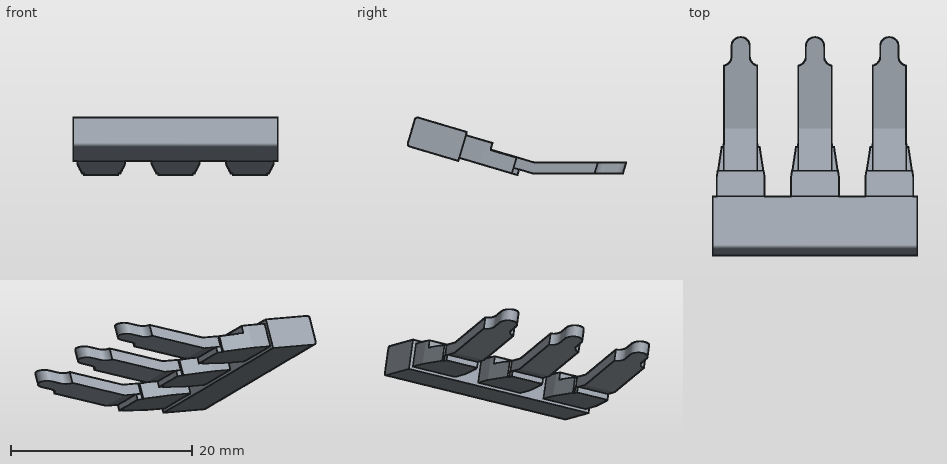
import cadquery as cq
import math

tilt = 16.5
tilt_sin = math.sin(math.radians(tilt))
tilt_cos = math.cos(math.radians(tilt))

bar_width = 22.6
bar_length = 5.91
bar_height = 3.35
bar_fillet = 0.35

prong_count = 3
prong_pitch = 8.2

root_width = 5.3
root_bottom = 0.36
collar_top = 3.0
collar_end = 8.25
collar_top_end = 8.98
sleeve_top = 2.17
sleeve_end = 11.97
sleeve_end_width = 4.22
lip_end = 12.63
lip_width = 3.81

blade_width = 3.72
blade_thickness = 1.23
blade_top = 2.25
blade_bottom = blade_top - blade_thickness
bend_top = 14.05
bend_bottom = bend_top + blade_thickness * math.tan(math.radians(tilt / 2))

nose_width = 2.05
nose_radius = nose_width / 2
notch_radius = 1.0
notch_start_from_tip = 2.17
front_rounding = bar_fillet * (tilt_sin + tilt_cos - 1)
tip_y = 24.15 + front_rounding


def tilted(y, z):
    """Place a point of the level bar frame into the tilted side plane."""
    return (y * tilt_cos + z * tilt_sin, z * tilt_cos - y * tilt_sin)


def tilt_solid(solid):
    return solid.rotate((0, 0, 0), (1, 0, 0), -tilt)


def make_bar():
    bar = cq.Workplane("XY").box(bar_width, bar_length, bar_height, centered=(True, False, False))
    return tilt_solid(bar.faces("<Y").edges("|X").fillet(bar_fillet))


def make_root():
    half_root = root_width / 2
    half_end = sleeve_end_width / 2
    plan = (
        cq.Workplane("XY")
        .moveTo(-half_root, 0)
        .lineTo(-half_root, collar_end)
        .lineTo(-half_end, sleeve_end)
        .lineTo(half_end, sleeve_end)
        .lineTo(half_root, collar_end)
        .lineTo(half_root, 0)
        .close()
        .extrude(collar_top)
    )
    root_start = bar_length / 2
    side = (
        cq.Workplane("YZ")
        .moveTo(root_start, root_bottom)
        .lineTo(root_start, collar_top)
        .lineTo(collar_top_end, collar_top)
        .lineTo(collar_top_end, sleeve_top)
        .lineTo(sleeve_end, sleeve_top)
        .lineTo(sleeve_end, root_bottom)
        .close()
        .extrude(half_root, both=True)
    )
    lip = cq.Workplane("XY").box(
        lip_width, lip_end - collar_end, blade_bottom - root_bottom, centered=(True, False, False)
    ).translate((0, collar_end, root_bottom))
    return tilt_solid(plan.intersect(side).union(lip))


def make_tip_outline(flat_top):
    """Blade outline as a prism that leans with the tilt below the blade's flat top."""
    half_blade = blade_width / 2
    nose_y = tip_y - nose_radius
    notch_y = tip_y - notch_start_from_tip
    notch_x = nose_radius + notch_radius
    notch_angle = math.acos((notch_x - half_blade) / notch_radius)
    shoulder_y = notch_y - notch_radius * math.sin(notch_angle)
    mid_x = notch_x - notch_radius * math.cos(notch_angle / 2)
    mid_y = notch_y - notch_radius * math.sin(notch_angle / 2)

    outline = (
        cq.Workplane("XY")
        .workplane(offset=flat_top)
        .moveTo(-half_blade, 0)
        .lineTo(-half_blade, shoulder_y)
        .threePointArc((-mid_x, mid_y), (-nose_radius, notch_y))
        .lineTo(-nose_radius, nose_y)
        .threePointArc((0, tip_y), (nose_radius, nose_y))
        .lineTo(nose_radius, notch_y)
        .threePointArc((mid_x, mid_y), (half_blade, shoulder_y))
        .lineTo(half_blade, 0)
        .close()
    )
    lean = cq.Vector(0, -tilt_sin, -tilt_cos) * (blade_thickness / tilt_cos)
    face = cq.Face.makeFromWires(outline.wires().val())
    return cq.Workplane(cq.Solid.extrudeLinear(face, lean))


def make_blade():
    bend_top_y, flat_top = tilted(bend_top, blade_top)
    bend_bottom_y, flat_bottom = tilted(bend_bottom, blade_bottom)
    half_blade = blade_width / 2
    inclined = (
        cq.Workplane("YZ")
        .polyline([
            tilted(collar_end, blade_top),
            (bend_top_y, flat_top),
            (bend_bottom_y, flat_bottom),
            tilted(collar_end, blade_bottom),
        ])
        .close()
        .extrude(half_blade, both=True)
    )
    flat = (
        cq.Workplane("YZ")
        .polyline([
            (bend_top_y, flat_top),
            (tip_y, flat_top),
            (tip_y, flat_bottom),
            (bend_bottom_y, flat_bottom),
        ])
        .close()
        .extrude(half_blade, both=True)
        .intersect(make_tip_outline(flat_top))
    )
    return inclined.union(flat)


prong = make_root().union(make_blade())
result = make_bar()
for index in range(prong_count):
    prong_x = (index - (prong_count - 1) / 2) * prong_pitch
    result = result.union(prong.translate((prong_x, 0, 0)))